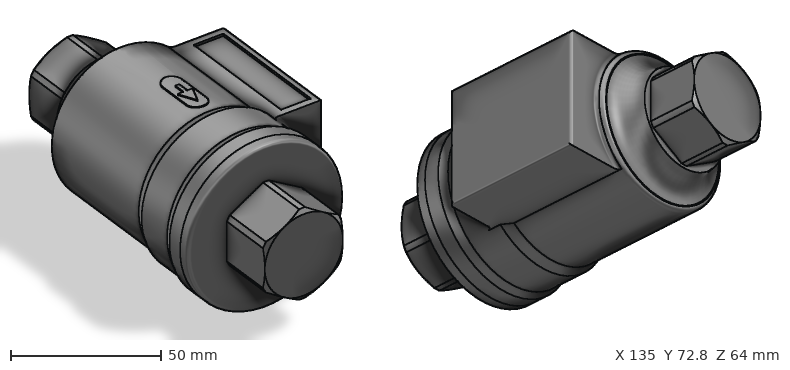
import cadquery as cq
import math

total_length = 135.0
neck_start = 20.0
shoulder_start = 29.8
barrel_end = 81.0
collar_start = 84.9
collar_end = 99.5
rim_start = 102.7
cap_joint = 108.8
rim_end = 113.3

neck_radius = 19.0
neck_sweep_radius = 10.0
shoulder_round = 2.0
barrel_radius = 29.0
collar_radius = 30.6
rim_radius = 32.0
rim_round = 1.5

hex_across_flats = 32.0
hex_corner_radius = 17.8
hex_chamfer_angle = 30.0

block_start = 33.0
block_end = 88.7
block_back = 40.8
block_height = 45.2
block_edge_round = 1.2
block_root_round = 1.5

label_start = 35.8
label_end = 85.9
label_front = 25.8
label_back = 38.0
label_depth = 1.0

pad_start = 55.8
pad_end = 77.5
pad_width = 8.1
pad_rise = 0.4
arrow_tail = 62.5
arrow_neck = 67.1
arrow_tip = 74.2
arrow_shaft_width = 1.6
arrow_head_width = 6.2
arrow_rise = 0.8


def cylinder_x(start, length, radius):
    """Solid cylinder on the X axis."""
    return cq.Workplane("YZ").workplane(offset=start).circle(radius).extrude(length)


def revolve_x(profile):
    """Turn a closed XY profile about the X axis."""
    return profile.close().revolve(360, (0, 0, 0), (1, 0, 0))


def hex_end(inner_x, outer_x):
    """Hexagon bar with two flats facing +Y and -Y, chamfered at its outer end."""
    direction = math.copysign(1, outer_x - inner_x)
    flat_distance = hex_across_flats / 2
    corner_distance = flat_distance / math.cos(math.radians(30))
    chamfer_length = (hex_corner_radius - flat_distance) * math.tan(math.radians(hex_chamfer_angle))
    corners = [
        (corner_distance * math.sin(math.radians(60 * i)), corner_distance * math.cos(math.radians(60 * i)))
        for i in range(6)
    ]
    bar = cq.Workplane("YZ").workplane(offset=inner_x).polyline(corners).close().extrude(outer_x - inner_x)
    turned_envelope = revolve_x(
        cq.Workplane("XY")
        .moveTo(inner_x, 0)
        .lineTo(inner_x, hex_corner_radius)
        .lineTo(outer_x - direction * chamfer_length, hex_corner_radius)
        .lineTo(outer_x, flat_distance)
        .lineTo(outer_x, 0)
    )
    return bar.intersect(turned_envelope)


def barrel():
    """Turned solid from the flared neck to the joint with the end cap."""
    sweep_center_radius = neck_radius + neck_sweep_radius
    sweep_angle = math.asin((shoulder_start - neck_start) / neck_sweep_radius)
    sweep_end_radius = sweep_center_radius - neck_sweep_radius * math.cos(sweep_angle)
    sweep_middle = (
        neck_start + neck_sweep_radius * math.sin(sweep_angle / 2),
        sweep_center_radius - neck_sweep_radius * math.cos(sweep_angle / 2),
    )
    round_inset = shoulder_round * (1 - math.cos(math.radians(45)))
    profile = (
        cq.Workplane("XY")
        .moveTo(neck_start, 0)
        .lineTo(neck_start, neck_radius)
        .threePointArc(sweep_middle, (shoulder_start, sweep_end_radius))
        .lineTo(shoulder_start, barrel_radius - shoulder_round)
        .threePointArc(
            (shoulder_start + round_inset, barrel_radius - round_inset),
            (shoulder_start + shoulder_round, barrel_radius),
        )
        .lineTo(barrel_end, barrel_radius)
        .lineTo(collar_start, collar_radius)
        .lineTo(collar_end, collar_radius)
        .lineTo(rim_start, rim_radius)
        .lineTo(cap_joint, rim_radius)
        .lineTo(cap_joint, 0)
    )
    return revolve_x(profile)


def block_prism(start, end):
    """Prism with the height of the block, from the axis out to its back face."""
    return cq.Workplane("XY").box(
        end - start, block_back, block_height, centered=(False, False, True)
    ).translate((start, 0, 0))


def root_fillet(face_x, direction, base_radius):
    """Concave fillet between an end face of the block and the round surface below it."""
    outer_radius = base_radius + block_root_round
    foot_x = face_x + direction * block_root_round
    arc_inset = block_root_round * (1 - math.cos(math.radians(45)))
    inner_radius = base_radius - block_root_round
    ring = revolve_x(
        cq.Workplane("XY")
        .moveTo(face_x, inner_radius)
        .lineTo(face_x, outer_radius)
        .threePointArc((face_x + direction * arc_inset, base_radius + arc_inset), (foot_x, base_radius))
        .lineTo(foot_x, inner_radius)
    )
    return ring.intersect(block_prism(min(face_x, foot_x), max(face_x, foot_x)))


def control_block():
    """Rectangular block with rounded back edges, root fillets and a label recess."""
    block = block_prism(block_start, block_end).faces(">Y").edges().fillet(block_edge_round)
    label_recess = cq.Workplane("XY").box(
        label_end - label_start, label_back - label_front, label_depth, centered=False
    ).translate((label_start, label_front, block_height / 2 - label_depth))
    return (
        block.union(root_fillet(block_start, -1, barrel_radius))
        .union(root_fillet(block_end, 1, collar_radius))
        .cut(label_recess)
    )


def raised_mark(outline, rise):
    """Lift a flat outline off the top of the barrel to a surface parallel to it."""
    prism = outline.extrude(2 * barrel_radius)
    return prism.intersect(cylinder_x(pad_start, pad_end - pad_start, barrel_radius + rise))


def flow_mark():
    """Oval pad carrying an arrow that points along +X."""
    pad = cq.Workplane("XY").center((pad_start + pad_end) / 2, 0).slot2D(pad_end - pad_start, pad_width)
    arrow = cq.Workplane("XY").polyline([
        (arrow_tail, -arrow_shaft_width / 2),
        (arrow_neck, -arrow_shaft_width / 2),
        (arrow_neck, -arrow_head_width / 2),
        (arrow_tip, 0),
        (arrow_neck, arrow_head_width / 2),
        (arrow_neck, arrow_shaft_width / 2),
        (arrow_tail, arrow_shaft_width / 2),
    ]).close()
    return raised_mark(pad, pad_rise).union(raised_mark(arrow, arrow_rise))


def make_housing():
    """Inlet hexagon, barrel, control block and flow mark in one piece."""
    return barrel().union(hex_end(neck_start, 0)).union(control_block()).union(flow_mark())


def make_end_cap():
    """Outlet cap: the outer part of the rim with its hexagon."""
    rim = cylinder_x(cap_joint, rim_end - cap_joint, rim_radius).faces(">X").edges().fillet(rim_round)
    return rim.union(hex_end(rim_end, total_length))


housing = make_housing()
end_cap = make_end_cap()
result = cq.Compound.makeCompound([housing.solids().val(), end_cap.solids().val()])